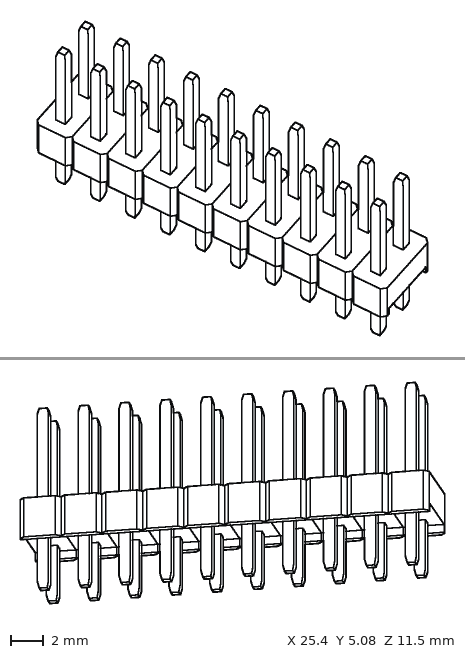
import cadquery as cq

position_count = 10
row_count = 2
pitch = 2.54

cell_length = pitch
cell_width = row_count * pitch
cell_height = 2.5
corner_chamfer = 0.3

foot_height = 0.5
foot_width = 0.5
channel_width = cell_width - 2 * foot_width

pin_size = 0.7
pin_tip_size = 0.5
pin_tip_length = 0.4
pin_length_below = 3.0
pin_length_above = 6.0
pin_bottom = -pin_length_below
pin_top = cell_height + pin_length_above
shank_length = pin_top - pin_bottom - 2 * pin_tip_length


def centered_offsets(count):
    """Positions of `count` items spaced one pitch apart about zero."""
    return [(index - (count - 1) / 2) * pitch for index in range(count)]


def make_housing_cell():
    """Block with chamfered vertical corners and an open channel along X underneath."""
    block = (
        cq.Workplane("XY")
        .rect(cell_length, cell_width)
        .extrude(cell_height)
        .edges("|Z")
        .chamfer(corner_chamfer)
    )
    channel = cq.Workplane("XY").rect(cell_length, channel_width).extrude(foot_height)
    return block.cut(channel)


def make_tip(base_z, end_z):
    """Tapered pin end, narrowing from base_z to end_z."""
    return (
        cq.Workplane("XY", origin=(0, 0, base_z))
        .rect(pin_size, pin_size)
        .workplane(offset=end_z - base_z)
        .rect(pin_tip_size, pin_tip_size)
        .loft(ruled=True)
    )


def make_pin():
    """Straight square shank with a tapered tip at each end."""
    shank_bottom = pin_bottom + pin_tip_length
    shank_top = shank_bottom + shank_length
    shank = (
        cq.Workplane("XY", origin=(0, 0, shank_bottom))
        .rect(pin_size, pin_size)
        .extrude(shank_length)
    )
    return shank.union(make_tip(shank_bottom, pin_bottom)).union(make_tip(shank_top, pin_top))


def make_header_position():
    """One position of the header: a housing cell with a pin in each row."""
    header_position = make_housing_cell()
    pin = make_pin()
    for row_y in centered_offsets(row_count):
        header_position = header_position.union(pin.translate((0, row_y, 0)))
    return header_position


header_position = make_header_position()
header_positions = [
    header_position.translate((position_x, 0, 0)) for position_x in centered_offsets(position_count)
]

result = cq.Compound.makeCompound([position.val() for position in header_positions])